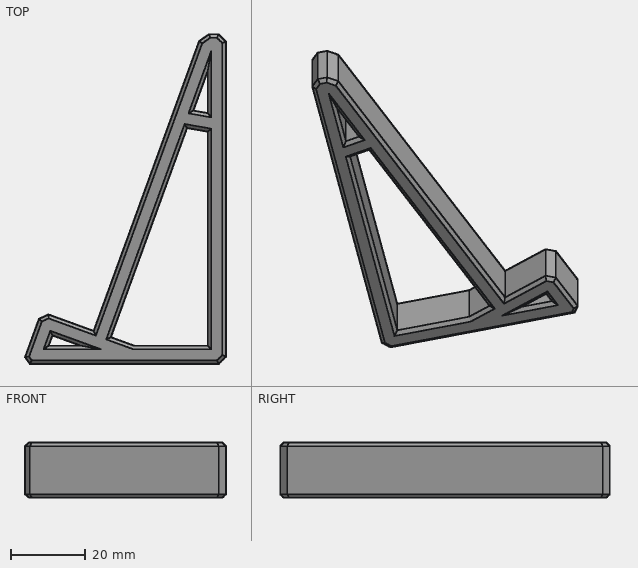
import cadquery as cq
import math

base_length = 55.0
overall_height = 89.14
thickness = 15.0
lean_angle = 20.0
foot_end_length = 15.0
foot_top_length = 15.0
wall = 5.0
strut_height = 65.3
corner_chamfer = 2.0
rim_chamfer = 1.0

lean = math.radians(lean_angle)
strut_tilt = lean / 2
arm_dir = cq.Vector(math.sin(lean), math.cos(lean))
foot_dir = cq.Vector(math.cos(lean), -math.sin(lean))
strut_dir = cq.Vector(-math.cos(strut_tilt), math.sin(strut_tilt))
x_dir = cq.Vector(1, 0)
y_dir = cq.Vector(0, 1)


def crossing(start_a, dir_a, start_b, dir_b):
    """Point where two lines in the XY plane meet."""
    gap = start_b - start_a
    distance = gap.cross(dir_b).z / dir_a.cross(dir_b).z
    return start_a + dir_a * distance


def prism(corners):
    """Upright block through the full thickness with the given outline."""
    outline = [(corner.x, corner.y) for corner in corners]
    return cq.Workplane("XY").polyline(outline).close().extrude(thickness)


bottom_right = cq.Vector(0, 0)
top_right = cq.Vector(0, overall_height)
foot_bottom = cq.Vector(-base_length, 0)
foot_corner = foot_bottom + arm_dir * foot_end_length
arm_root = foot_corner + foot_dir * foot_top_length
top_left = crossing(arm_root, arm_dir, top_right, x_dir)

inner_corner = cq.Vector(-wall, wall)
inner_arm_root = arm_root + foot_dir * wall


def strut_edge(offset):
    """Ends of a strut edge, on the upright and on the arm, at an offset from the strut's middle line."""
    upright_end = cq.Vector(-wall, strut_height + offset / math.cos(strut_tilt))
    arm_end = crossing(upright_end, strut_dir, inner_arm_root, arm_dir)
    return upright_end, arm_end


def body():
    block = prism([bottom_right, top_right, top_left, arm_root, foot_corner, foot_bottom])
    for corner in (bottom_right, top_right, top_left, foot_corner, foot_bottom):
        middle = (corner.x, corner.y, thickness / 2)
        edge = cq.selectors.NearestToPointSelector(middle)
        block = block.edges("|Z").edges(edge).chamfer(corner_chamfer)
    return block


def main_window():
    upright_end, arm_end = strut_edge(-wall / 2)
    slope_end = crossing(arm_root, foot_dir, inner_corner, x_dir)
    return prism([inner_corner, upright_end, arm_end, inner_arm_root, slope_end])


def tip_window():
    upright_end, arm_end = strut_edge(wall / 2)
    apex = crossing(inner_corner, y_dir, inner_arm_root, arm_dir)
    return prism([upright_end, apex, arm_end])


def foot_window():
    upper_corner = foot_corner + foot_dir * wall - arm_dir * wall
    lower_corner = crossing(upper_corner, arm_dir, inner_corner, x_dir)
    point = crossing(upper_corner, foot_dir, inner_corner, x_dir)
    return prism([upper_corner, point, lower_corner])


frame = body().cut(main_window()).cut(tip_window()).cut(foot_window())
result = frame.faces("<Z or >Z").edges().chamfer(rim_chamfer)